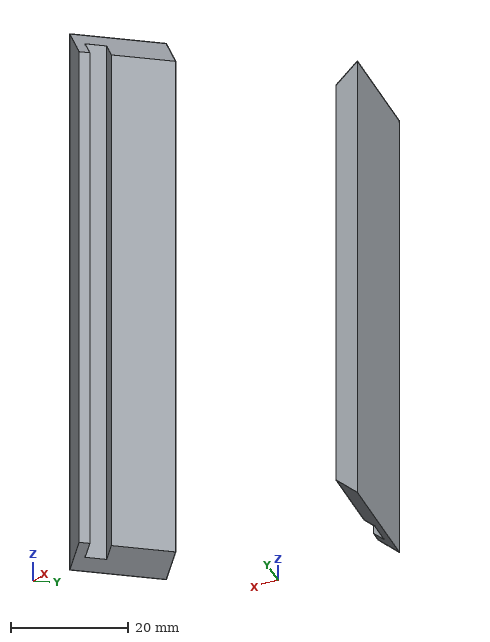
import cadquery as cq

thickness = 4.0
width = 18.0
length = 94.0

mitre = thickness

groove_width = 4.0
groove_depth = 2.0
lip_width = 2.0


def mitred_strip():
    """Trapezoidal strip with its long face at X = 0."""
    return (
        cq.Workplane("XZ")
        .moveTo(0, 0)
        .lineTo(thickness, mitre)
        .lineTo(thickness, length - mitre)
        .lineTo(0, length)
        .close()
        .extrude(-width)
    )


def groove():
    """Rectangular channel cutter, open on the short face and both ends."""
    return cq.Workplane("XY").box(
        groove_depth, groove_width, length, centered=False
    ).translate((thickness - groove_depth, lip_width, 0))


result = mitred_strip().cut(groove())